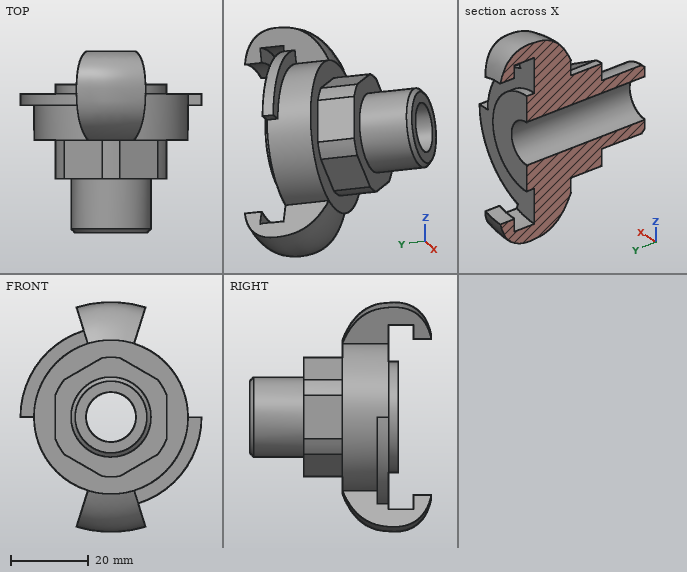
import cadquery as cq
import math


collar_radius = 20.0
collar_length = 12.0
seat_radius = 14.45
seat_length = 2.5

hex_across_flats = 2 * seat_radius
hex_corner_radius = 15.5
hex_length = 10.0

spigot_radius = 10.4
spigot_length = 14.0
spigot_chamfer = 1.1
bore_radius = 6.45

flange_radius = 23.5
flange_thickness = 3.0

claw_radius = 29.8
claw_angle = 35.0
claw_length = 23.1
claw_crest_y = 13.55
claw_lip_length = 4.65
claw_lip_radius = 21.2
claw_slot_radius = 25.0
claw_root_radius = 17.9
claw_tip_direction = (1.0, -0.2)
claw_crest_direction = (0, -1.0)
claw_front_direction = (-1.0, -0.4)

seat_end = collar_length + seat_length
hex_end = -hex_length
spigot_end = hex_end - spigot_length


def cylinder(radius, y_start, y_end):
    """Solid cylinder on the Y axis between two Y positions."""
    return cq.Workplane("XZ", origin=(0, y_end, 0)).circle(radius).extrude(y_end - y_start)


def make_hexagon():
    """Hexagon with flats facing +X and -X, its corners turned to a circle."""
    circumscribed_diameter = hex_across_flats / math.cos(math.pi / 6)
    hexagon = (
        cq.Workplane("XZ")
        .transformed(rotate=(0, 0, 30))
        .polygon(6, circumscribed_diameter)
        .extrude(hex_length)
    )
    return hexagon.intersect(cylinder(hex_corner_radius, hex_end, 0))


def make_spigot():
    """Spigot with a chamfered free end."""
    spigot = cylinder(spigot_radius, spigot_end, hex_end)
    return spigot.faces("<Y").chamfer(spigot_chamfer)


def make_flange():
    """Quarter disc in the -X, +Z quadrant, flush with the back of the collar."""
    disc = cylinder(flange_radius, collar_length - flange_thickness, collar_length)
    quadrant = cq.Workplane("XY").box(
        flange_radius, collar_length, flange_radius, centered=False
    ).translate((-flange_radius, 0, 0))
    return disc.intersect(quadrant)


def make_claw():
    """Hooked profile revolved about Y, centred on +Z."""
    profile = (
        cq.Workplane("XY")
        .moveTo(claw_root_radius, 0)
        .lineTo(claw_root_radius, collar_length)
        .lineTo(claw_slot_radius, collar_length)
        .lineTo(claw_slot_radius, claw_length - claw_lip_length)
        .lineTo(claw_lip_radius, claw_length - claw_lip_length)
        .lineTo(claw_lip_radius, claw_length)
        .spline(
            [(claw_radius, claw_crest_y), (collar_radius, 0)],
            tangents=[claw_tip_direction, claw_crest_direction, claw_front_direction],
            includeCurrent=True,
        )
        .close()
    )
    claw = profile.revolve(claw_angle, (0, 0, 0), (0, 1, 0))
    return claw.rotate((0, 0, 0), (0, 1, 0), -90 - claw_angle / 2)


body = (
    cylinder(collar_radius, 0, collar_length)
    .union(cylinder(seat_radius, collar_length, seat_end))
    .union(make_hexagon())
    .union(make_spigot())
)

for turn in (0, 180):
    for feature in (make_flange(), make_claw()):
        body = body.union(feature.rotate((0, 0, 0), (0, 1, 0), turn))

result = body.cut(cylinder(bore_radius, spigot_end, seat_end))